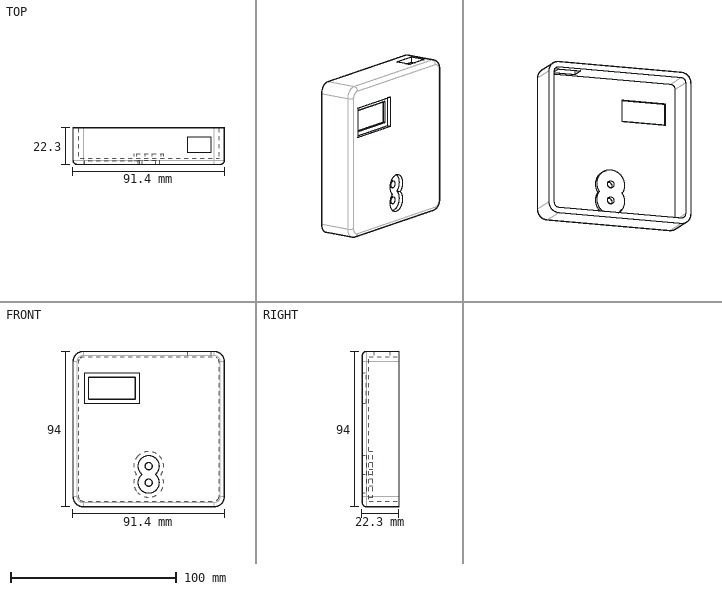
import cadquery as cq

width = 91.4
depth = 22.3
height = 94.0
corner_radius = 6.3
front_fillet = 2.5

side_wall = 3.4
front_wall = 3.8

window_width = 28.0
window_height = 13.2
window_ledge = 2.5
window_recess_depth = 2.3
window_center_x = -width / 2 + 23.5
window_center_z = height / 2 - 22.4

lobe_diameter = 12.8
lobe_depth = 2.5
hole_diameter = 4.2
hole_spacing = 10.0
screw_seat_thickness = 3.8
boss_wall = 2.5
hole_pair_center_z = -height / 2 + 19.6

port_width = 14.3
port_depth = 9.6
port_center_x = width / 2 - 15.1
port_center_y = depth / 2 - 10.3

front_y = -depth / 2


def block(size_x, size_y, size_z, x, y_start, z):
    """Box centred on x and z that extends from y_start toward +Y."""
    return cq.Workplane("XY").box(size_x, size_y, size_z).translate((x, y_start + size_y / 2, z))


def front_cylinder(diameter, length, z):
    """Cylinder on the body's centre line, running from the front face toward +Y."""
    return cq.Workplane("XZ", origin=(0, front_y, z)).circle(diameter / 2).extrude(-length)


def make_shell():
    body = block(width, depth, height, 0, front_y, 0)
    body = body.edges("|Y").fillet(corner_radius)
    body = body.faces("<Y").edges().fillet(front_fillet)
    cavity = block(
        width - 2 * side_wall,
        depth - front_wall,
        height - 2 * side_wall,
        0,
        front_y + front_wall,
        0,
    )
    cavity = cavity.edges("|Y").fillet(corner_radius - side_wall)
    return body.cut(cavity)


def cut_window(body):
    opening = block(window_width, front_wall, window_height, window_center_x, front_y, window_center_z)
    recess = block(
        window_width + 2 * window_ledge,
        window_recess_depth,
        window_height + 2 * window_ledge,
        window_center_x,
        front_y,
        window_center_z,
    )
    return body.cut(opening).cut(recess)


def add_screw_seat(body):
    """Figure-eight recess, backed by a boss inside the shell, with two through holes."""
    boss_depth = lobe_depth + screw_seat_thickness
    hole_heights = [hole_pair_center_z + side * hole_spacing / 2 for side in (-1, 1)]
    for z in hole_heights:
        body = body.union(front_cylinder(lobe_diameter + 2 * boss_wall, boss_depth, z))
    for z in hole_heights:
        body = body.cut(front_cylinder(lobe_diameter, lobe_depth, z))
        body = body.cut(front_cylinder(hole_diameter, boss_depth, z))
    return body


def cut_port(body):
    port_start_y = port_center_y - port_depth / 2
    top_wall_center_z = height / 2 - side_wall / 2
    return body.cut(block(port_width, port_depth, side_wall, port_center_x, port_start_y, top_wall_center_z))


result = cut_port(add_screw_seat(cut_window(make_shell())))